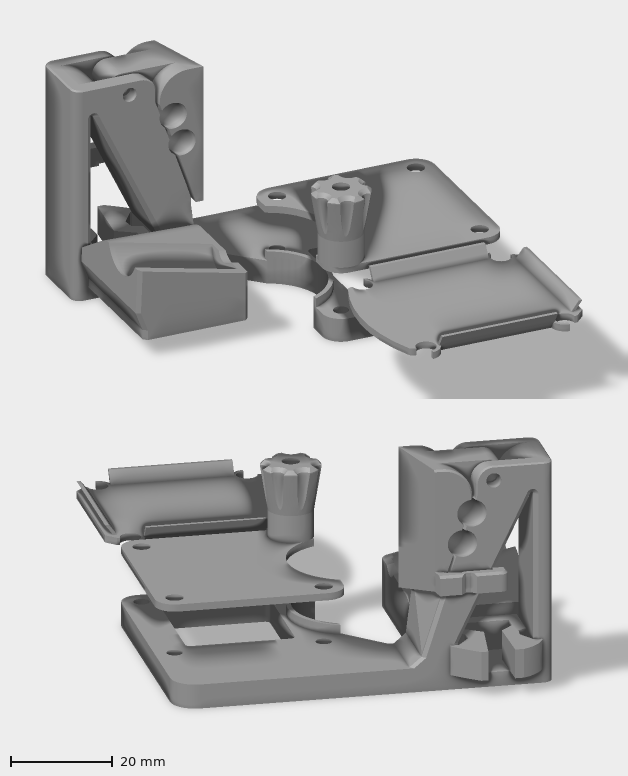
import cadquery as cq
import math

frame_width = 15.0
frame_length = 76.0
tower_height = 46.0
lens_x = 34.0
hole_pitch = 30.0
hole_mid_y = 57.0
corner_radius = 4.0
plate_right = lens_x + hole_pitch / 2 + corner_radius
plate_front = hole_mid_y - hole_pitch / 2 - corner_radius
lens_y = 33.0
lens_radius = 12.0
rim_width = 1.0

pivot_y = 12.0
pivot_diameter = 3.0
barrel_radius = 3.0
pivot_z = tower_height - barrel_radius
cheek_radius = 3.5
split_shift = 2.3
jaw_gap = 0.7
jaw_bottom = 16.6
far_behind = 40.0
wire_diameter = 5.6
wire_drift = 5.0
wire_centres = [(16.4, 36.5), (18.3, 30.3)]

joint_line = [(pivot_y + cheek_radius, 39.5), (20.5, 25.0), (22.0, 20.7), (26.4, 7.0)]


def sheared_prism(outline, shift, width=frame_width):
    """Prism along X whose right end is moved by shift along Y."""
    right_end = outline.val().moved(cq.Location(cq.Vector(width, shift, 0)))
    return cq.Workplane(cq.Solid.makeLoft([outline.val(), right_end], True))


def box(x_range, y_range, z_range):
    """Block between the given limits."""
    sizes = [high - low for low, high in (x_range, y_range, z_range)]
    corner = (x_range[0], y_range[0], z_range[0])
    return cq.Workplane().box(*sizes, centered=False).translate(corner)


def wire_holes():
    """Two skewed wire channels, shared by tower and jaw."""
    overrun = 0.2
    direction = cq.Vector(frame_width, wire_drift, 0)
    start = direction * -overrun
    length = direction.Length * (1 + 2 * overrun)
    holes = cq.Workplane()
    for y, z in wire_centres:
        base = cq.Vector(0, y, z) + start
        holes = holes.add(cq.Solid.makeCylinder(wire_diameter / 2, length, base, direction))
    return holes.combine()


def pivot_hole():
    """Straight hinge hole along X."""
    return (
        cq.Workplane("YZ")
        .center(pivot_y, pivot_z)
        .circle(pivot_diameter / 2)
        .extrude(frame_width)
    )


arm_thickness = 5.0
rim_top = 7.0
arm_corner_radius = 5.0
frame_hole_diameter = 3.2
window_x = (22.0, 46.0)
window_y = (47.0, 69.0)
window_fillet = 1.0
tower_edge_radius = 2.0
opening_front = 3.9
opening_back = 19.0
opening_bottom = 3.0
opening_shoulder = 9.4
opening_top = 39.4
opening_tip = 0.6
opening_chamfer = 0.9
foot_outer = 28.8
strut_chamfer = 0.8
top_chamfer = 0.3
slot_x = (3.1, 12.1)
slot_front = 2.3
slot_floor = 39.0


def mount_holes(diameter, height):
    """Four holes on the square mounting pattern."""
    return (
        cq.Workplane()
        .center(lens_x, hole_mid_y)
        .rect(hole_pitch, hole_pitch, forConstruction=True)
        .vertices()
        .circle(diameter / 2)
        .extrude(height)
    )


def lens_disc(radius, height):
    return cq.Workplane().center(lens_x, lens_y).circle(radius).extrude(height)


def frame_arm():
    """Flat L-shaped arm with the lens cutout, its rim, a window and four holes."""
    cutout_half_chord = math.sqrt(lens_radius**2 - (plate_front - lens_y) ** 2)
    gusset_run = lens_x - cutout_half_chord - frame_width
    arm = (
        cq.Workplane()
        .moveTo(0, 0)
        .lineTo(frame_width, 0)
        .lineTo(frame_width, plate_front - gusset_run)
        .lineTo(frame_width + gusset_run, plate_front)
        .lineTo(plate_right, plate_front)
        .lineTo(plate_right, frame_length)
        .lineTo(0, frame_length)
        .close()
        .extrude(arm_thickness)
    )
    arm = arm.edges("|Z and >X").fillet(corner_radius)
    left_corner = cq.selectors.NearestToPointSelector((0, frame_length, arm_thickness / 2))
    arm = arm.edges(left_corner).fillet(arm_corner_radius)
    rim_zone = box((0, plate_right), (plate_front, frame_length), (0, rim_top))
    rim = lens_disc(lens_radius + rim_width, rim_top).intersect(rim_zone)
    window = box(window_x, window_y, (0, arm_thickness)).edges("|Z").fillet(window_fillet)
    arm = arm.union(rim).cut(lens_disc(lens_radius, rim_top)).cut(window)
    return arm.cut(mount_holes(frame_hole_diameter, arm_thickness))


def side_opening():
    """Triangular through-opening with a square foot, chamfered at both faces."""
    opening = (
        cq.Workplane("YZ")
        .polyline(
            [
                (opening_front, opening_bottom),
                (opening_back, opening_bottom),
                (opening_back, opening_shoulder),
                (opening_front + opening_tip, opening_top),
            ]
        )
        .threePointArc(
            (opening_front + opening_tip / 2, opening_top + opening_tip / 2),
            (opening_front, opening_top),
        )
        .close()
    )
    wire = opening.wire().val()
    through = cq.Workplane(cq.Solid.extrudeLinear(wire, [], cq.Vector(frame_width, 0, 0)))
    grown = wire.offset2D(opening_chamfer, "intersection")[0]
    for face_x, depth_x in ((0, opening_chamfer), (frame_width, frame_width - opening_chamfer)):
        mouth = grown.moved(cq.Location(cq.Vector(face_x, 0, 0)))
        throat = wire.moved(cq.Location(cq.Vector(depth_x, 0, 0)))
        through = through.union(cq.Workplane(cq.Solid.makeLoft([mouth, throat], True)))
    above_sill = box((0, frame_width), (0, frame_length), (opening_bottom, tower_height))
    return through.intersect(above_sill)


def jaw_space():
    """Everything behind the joint line, drifting along Y across the width."""
    outline = (
        cq.Workplane("YZ")
        .moveTo(pivot_y, tower_height)
        .radiusArc((pivot_y + cheek_radius, tower_height - cheek_radius), cheek_radius)
    )
    for point in joint_line:
        outline = outline.lineTo(*point)
    outline = outline.lineTo(far_behind, joint_line[-1][1]).lineTo(far_behind, tower_height).close()
    return sheared_prism(outline.wire(), split_shift)


def tongue_slot():
    """Slot in the tower top with a convex floor, open towards the jaw."""
    arc_radius = tower_height - slot_floor
    return (
        cq.Workplane("YZ", origin=(slot_x[0], 0, 0))
        .moveTo(slot_front, tower_height)
        .radiusArc((slot_front + arc_radius, slot_floor), arc_radius)
        .lineTo(far_behind, slot_floor)
        .lineTo(far_behind, tower_height)
        .close()
        .extrude(slot_x[1] - slot_x[0])
    )


def strut_bevel():
    """Bevel along the left edge of the strut and its foot."""
    strut_top, strut_end = joint_line[2:]
    outline = (
        cq.Workplane("YZ", origin=(0, -strut_chamfer, 0))
        .polyline(
            [
                strut_top,
                strut_end,
                (foot_outer, arm_thickness),
                (far_behind, arm_thickness),
                (far_behind, strut_top[1]),
            ]
        )
        .close()
    )
    return sheared_prism(outline.wire(), strut_chamfer, strut_chamfer)


def make_frame():
    foot_top = joint_line[-1]
    strut_back = 25.2
    tower = (
        cq.Workplane("YZ")
        .polyline(
            [
                (0, 0),
                (foot_outer, 0),
                (foot_outer, arm_thickness),
                foot_top,
                (strut_back, jaw_bottom),
                (strut_back, tower_height),
                (0, tower_height),
            ]
        )
        .close()
        .extrude(frame_width)
    )
    tower = tower.cut(jaw_space()).cut(tongue_slot())
    tower = tower.cut(wire_holes()).cut(pivot_hole())
    frame = tower.union(frame_arm()).cut(side_opening()).cut(strut_bevel())
    frame = frame.edges("|Z and <Y").fillet(tower_edge_radius)
    return frame.edges("<Y and >Z").chamfer(top_chamfer)


jaw_back_left = 23.9
jaw_back_right = 27.9
jaw_corner_radius = 6.0
jaw_corner_bevel = 0.4
tongue_x = (3.8, 11.2)
clip_bottom = 20.7
clip_top = 24.8
clip_outer = -2.9
clip_inner = -0.9


def jaw_block():
    """Jaw body with rounded front corner, slanted back and slanted underside."""
    front = joint_line[0][0] + jaw_gap
    upper, middle, lower = joint_line[:3]
    strut_end = joint_line[3]
    strut_lean = (strut_end[0] - lower[0]) / (lower[1] - strut_end[1])
    foot_y = lower[0] + (lower[1] - jaw_bottom) * strut_lean
    outline = (
        cq.Workplane("YZ")
        .moveTo(far_behind, tower_height)
        .lineTo(front + jaw_corner_radius, tower_height)
        .radiusArc((front, tower_height - jaw_corner_radius), -jaw_corner_radius)
        .lineTo(front, upper[1])
        .lineTo(middle[0] + jaw_gap, middle[1])
        .lineTo(lower[0] + jaw_gap, lower[1])
        .lineTo(foot_y + jaw_gap, jaw_bottom)
        .lineTo(far_behind, jaw_bottom)
        .close()
    )
    limits = (
        cq.Workplane()
        .polyline([(0, 0), (frame_width, 0), (frame_width, jaw_back_right), (0, jaw_back_left)])
        .close()
        .extrude(tower_height)
    )
    underside = (
        cq.Workplane("XZ")
        .polyline([(0, jaw_bottom), (frame_width, jaw_bottom), (0, clip_bottom)])
        .close()
        .extrude(-far_behind)
    )
    block = sheared_prism(outline.wire(), split_shift).intersect(limits).cut(underside)
    arc_reach = jaw_corner_radius * (1 - math.sqrt(0.5))
    corner_edge = cq.selectors.NearestToPointSelector((0, front + arc_reach, tower_height - arc_reach))
    return block.edges(corner_edge).chamfer(jaw_corner_bevel)


def jaw_tongue():
    """Tongue reaching into the tower slot, ending in the hinge barrel."""
    return (
        cq.Workplane("YZ", origin=(tongue_x[0], 0, 0))
        .moveTo(jaw_back_left, tower_height)
        .lineTo(pivot_y, tower_height)
        .threePointArc((pivot_y - barrel_radius, pivot_z), (pivot_y, pivot_z - barrel_radius))
        .lineTo(jaw_back_left, pivot_z - barrel_radius)
        .close()
        .extrude(tongue_x[1] - tongue_x[0])
    )


def jaw_clip():
    """Spring arm along the left face, thinned at a bend, with a hooked end."""
    root_front = joint_line[2][0] + jaw_gap
    bend_y = 18.0
    bend_depth = 1.0
    bend_half = 1.0
    root_slant = 0.5
    root_web = 1.0
    top_bevel = 0.5
    hook_back = 12.3
    hook_front = 9.6
    hook_radius = 1.5
    return (
        cq.Workplane(origin=(0, 0, clip_bottom))
        .polyline(
            [
                (0, jaw_back_left),
                (clip_outer, jaw_back_left - root_slant),
                (clip_outer, bend_y + bend_half),
                (clip_outer + bend_depth, bend_y),
                (clip_outer + bend_depth, bend_y - bend_half),
                (clip_outer, bend_y - 2 * bend_half),
                (clip_outer, hook_front + hook_radius),
            ]
        )
        .radiusArc((clip_outer + hook_radius, hook_front), -hook_radius)
        .lineTo(0, hook_front)
        .lineTo(0, hook_back)
        .lineTo(clip_inner, hook_back)
        .lineTo(clip_inner, bend_y)
        .lineTo(clip_inner - bend_depth / 2, bend_y + bend_half)
        .lineTo(clip_inner, root_front - root_web)
        .lineTo(0, root_front)
        .close()
        .extrude(clip_top - clip_bottom)
        .faces(">Z")
        .edges("<X")
        .chamfer(top_bevel)
    )


def make_jaw():
    jaw = jaw_block().union(jaw_tongue()).union(jaw_clip())
    return jaw.cut(wire_holes()).cut(pivot_hole())


cradle_right = 42.0
cradle_front = 1.2
cradle_back = 25.4
cradle_bottom = 3.2
cradle_peak = 18.7
cradle_corner = 0.8
cradle_tilt = 12.5
ramp_foot_z = 11.7
ramp_slope = 0.61
ramp_blend = 6.0
groove_radius = 6.7
groove_depth = 4.0
groove_x = 33.9
notch_radius = 4.0
end_wall = 1.5
skirt_top = 5.2
front_lean = 0.4
hook_top = 9.2


def tilted(shape):
    """Lay a shape built level at the front peak onto the falling top."""
    axis_start = (0, cradle_front, cradle_peak)
    axis_end = (1, cradle_front, cradle_peak)
    return shape.rotate(axis_start, axis_end, -cradle_tilt)


def cradle_channel(radius, length):
    """Round channel along the tilted top."""
    overrun = 5.0
    axis_z = cradle_peak - groove_depth + groove_radius
    channel = cq.Workplane("XZ", origin=(groove_x, cradle_front - overrun, axis_z))
    return tilted(channel.circle(radius).extrude(-length - overrun))


def cradle_block():
    """Seat with a bulged front, a ramp on the left and a tilted grooved top."""
    length = cradle_back - cradle_front
    top_drop = length * math.tan(math.radians(cradle_tilt))
    side = (
        cq.Workplane("YZ", origin=(frame_width, 0, 0))
        .polyline(
            [
                (cradle_front + end_wall, cradle_bottom),
                (cradle_back, cradle_bottom),
                (cradle_back, cradle_peak),
                (cradle_front + front_lean, cradle_peak),
                (cradle_front, hook_top),
                (cradle_front + end_wall, skirt_top),
            ]
        )
        .close()
        .extrude(cradle_right - frame_width)
    )
    front_zone = cq.selectors.BoxSelector(
        (0, 0, cradle_bottom + cradle_corner),
        (2 * cradle_right, cradle_front + end_wall + cradle_corner, cradle_peak - cradle_corner),
    )
    side = side.edges("not |X").edges(front_zone).chamfer(cradle_corner)
    side = side.edges("|Z and >Y").chamfer(cradle_corner)
    above = tilted(
        box((0, 2 * cradle_right), (-length, 3 * length), (cradle_peak, 2 * cradle_peak))
    )
    side = side.cut(above)
    ramp_run = (cradle_peak - ramp_foot_z) / ramp_slope
    ramp = (
        cq.Workplane("XZ", origin=(frame_width, 0, ramp_foot_z))
        .polyline([(0, 0), (ramp_run, ramp_run * ramp_slope), (0, ramp_run * ramp_slope)])
        .close()
        .extrude(-2 * length)
    )
    side = side.cut(ramp)
    ridge_x = frame_width + ramp_run - top_drop / ramp_slope / 2
    ridge_z = cradle_peak - top_drop / 2
    ridge = cq.selectors.NearestToPointSelector((ridge_x, (cradle_front + cradle_back) / 2, ridge_z))
    side = side.edges(ridge).fillet(ramp_blend)
    groove_length = (length - end_wall) / math.cos(math.radians(cradle_tilt))
    side = side.cut(cradle_channel(groove_radius, groove_length))
    return side.cut(cradle_channel(notch_radius, 2 * length))


def hook_arm(inner_points, barb_arc, outer_points):
    """Extruded arm: inner edge out to the tip, arc over the barb, outer edge back."""
    arm = cq.Workplane(origin=(0, 0, cradle_bottom)).polyline(inner_points)
    arm = arm.threePointArc(*barb_arc)
    for point in outer_points:
        arm = arm.lineTo(*point)
    return arm.close().extrude(hook_top - cradle_bottom)


def cradle_hooks():
    """Root and two barbed arms that pass through the tower opening."""
    tip_x = -5.0
    bulge_x = -3.4
    barb_end_x = -0.5
    inner_bend_x = 6.3
    relief_x = 8.9
    neck_x = 12.0
    catch_x = 3.4
    notch_x = 5.7
    shoulder_x = 6.6
    relief_y = (6.4, 16.4)
    root_y = (4.1, 18.7)
    barb_y = (2.3, 20.8)
    front_arm = hook_arm(
        [
            (neck_x, relief_y[0]),
            (relief_x, relief_y[0]),
            (inner_bend_x, 9.0),
            (tip_x, 8.8),
            (tip_x, 7.0),
        ],
        [(bulge_x, 4.4), (barb_end_x, barb_y[0])],
        [
            (0, barb_y[0]),
            (0, opening_front),
            (catch_x, 6.0),
            (notch_x, 5.8),
            (shoulder_x, root_y[0]),
            (neck_x, root_y[0]),
        ],
    )
    back_arm = hook_arm(
        [
            (neck_x, relief_y[1]),
            (relief_x, relief_y[1]),
            (inner_bend_x, 12.6),
            (tip_x, 14.2),
            (tip_x, 15.6),
        ],
        [(bulge_x, 17.6), (barb_end_x, barb_y[1])],
        [
            (0, barb_y[1]),
            (0, opening_back),
            (catch_x, 16.4),
            (notch_x, 16.6),
            (shoulder_x, root_y[1]),
            (neck_x, root_y[1]),
        ],
    )
    root = box((neck_x, frame_width), root_y, (cradle_bottom, hook_top))
    return root.union(front_arm).union(back_arm)


def make_cradle():
    return cradle_block().union(cradle_hooks())


plate_bottom = 15.0
plate_thickness = 1.5
plate_hole_diameter = 3.6


def make_plate():
    side = hole_pitch + 2 * corner_radius
    plate = (
        cq.Workplane()
        .center(lens_x, hole_mid_y)
        .rect(side, side)
        .extrude(plate_thickness)
        .edges("|Z")
        .fillet(corner_radius)
        .cut(mount_holes(plate_hole_diameter, plate_thickness))
        .cut(lens_disc(lens_radius + rim_width, plate_thickness))
    )
    return plate.translate((0, 0, plate_bottom))


knob_x = lens_x + hole_pitch / 2
knob_y = hole_mid_y - hole_pitch / 2
knob_bottom = plate_bottom + plate_thickness
knob_top = 32.0
knob_neck_top = 22.2
knob_neck_radius = 4.6
knob_head_radius = 6.05
knob_band = 1.0
knob_bevel = 0.8
knob_bore = 3.6
flute_count = 7
flute_radius = 1.4
flute_inner = 4.8


def make_knob():
    rim_z = knob_top - knob_band
    knob = (
        cq.Workplane("XZ")
        .moveTo(0, knob_bottom)
        .lineTo(knob_neck_radius, knob_bottom)
        .lineTo(knob_neck_radius, knob_neck_top)
        .lineTo(knob_head_radius, rim_z)
        .lineTo(knob_head_radius, knob_top)
        .lineTo(0, knob_top)
        .close()
        .revolve(360, (0, 0, 0), (0, 1, 0))
    )
    flutes = (
        cq.Workplane(origin=(0, 0, knob_bottom))
        .polarArray(flute_inner + flute_radius, 90, 360, flute_count)
        .circle(flute_radius)
        .extrude(knob_top - knob_bottom)
    )
    knob = knob.cut(flutes).faces(">Z").edges().chamfer(knob_bevel)
    bore = cq.Workplane().circle(knob_bore / 2).extrude(knob_top)
    return knob.cut(bore).translate((knob_x, knob_y, 0))


cover_spacing = 40.0
cover_x = lens_x + cover_spacing
cover_bottom = 13.5
cover_thickness = 1.5
cover_top = cover_bottom + cover_thickness
cover_back = 76.7
cover_half = hole_pitch / 2
cover_side_y = (44.5, 69.4)
cover_corner = 2.0
cover_arc_y = 38.9
cover_arc_drop = 3.3
cover_front_fillet = 1.2
notch_cut_radius = 2.1
prong_radius = 2.91
lip_lean = 1.6
lip_thickness = 0.8
side_lip_height = 2.6
back_lip_height = 2.1
back_lip_length = 26.0


def cover_sheet():
    """Flat sheet with a bowed front edge, corner notches and curved prongs."""
    left = cover_x - cover_half
    right = cover_x + cover_half
    sheet = (
        cq.Workplane()
        .moveTo(left, cover_arc_y)
        .threePointArc((cover_x, cover_arc_y - cover_arc_drop), (right, cover_arc_y))
        .lineTo(right, cover_back - cover_corner)
        .lineTo(right - cover_corner, cover_back)
        .lineTo(left + cover_corner, cover_back)
        .lineTo(left, cover_back - cover_corner)
        .close()
        .extrude(cover_thickness)
    )
    front_zone = cq.selectors.BoxSelector(
        (left - 1, cover_arc_y - 1, 0), (right + 1, cover_arc_y + 1, cover_thickness)
    )
    sheet = sheet.edges("|Z").edges(front_zone).fillet(cover_front_fillet)
    prong_stop = {-1: 1.4, 1: 0.2}
    for side in (-1, 1):
        for end in (-1, 1):
            centre_x = cover_x + side * cover_half
            centre_y = hole_mid_y + end * hole_pitch / 2
            disc = cq.Workplane().center(centre_x, centre_y)
            near = centre_y - end * prong_radius
            far = centre_y - end * prong_stop[side]
            zone = box(
                sorted((centre_x, centre_x + side * prong_radius)),
                sorted((near, far)),
                (0, cover_thickness),
            )
            sheet = sheet.union(disc.circle(prong_radius).extrude(cover_thickness).intersect(zone))
            sheet = sheet.cut(disc.circle(notch_cut_radius).extrude(cover_thickness))
    return sheet.translate((0, 0, cover_bottom))


def leaning_lip(height, length):
    """Lip along Y, centred, leaning towards +X from an inner base edge at X = 0.

    Its outer face runs on down through the sheet thickness.
    """
    return (
        cq.Workplane("XZ", origin=(0, -length / 2, cover_top))
        .polyline(
            [
                (0, 0),
                (0, -cover_thickness),
                (lip_thickness, 0),
                (lip_lean + lip_thickness, height),
                (lip_lean, height),
            ]
        )
        .close()
        .extrude(-length)
    )


def make_cover():
    side_length = cover_side_y[1] - cover_side_y[0]
    side_middle = sum(cover_side_y) / 2
    lip = leaning_lip(side_lip_height, side_length)
    right_lip = lip.translate((cover_x + cover_half, side_middle, 0))
    left_lip = right_lip.mirror("YZ", (cover_x, 0, 0))
    reach = lip_lean + lip_thickness
    back_lip = (
        leaning_lip(back_lip_height, back_lip_length)
        .rotate((0, 0, 0), (0, 0, 1), 90)
        .translate((cover_x, cover_back - reach, 0))
    )
    return cover_sheet().union(right_lip).union(left_lip).union(back_lip)


frame = make_frame()
jaw = make_jaw()
cradle = make_cradle()
plate = make_plate()
knob = make_knob()
cover = make_cover()

result = cq.Compound.makeCompound(
    [frame.val(), jaw.val(), cradle.val(), plate.val(), knob.val(), cover.val()]
)